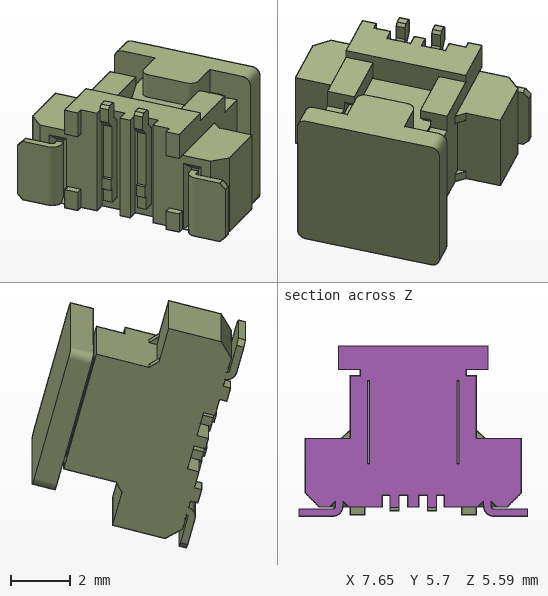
import cadquery as cq


BODY_HALF = 2.11
BODY_BACK = 4.4
CAP_TOP = 3.69
CAP_BACK = 1.46
LIP_TOP = 3.405
LIP_BACK = 3.405
LIP_GAP_HALF = 1.16
WALL_TOP = 2.785

CAVITY_HALF = 1.52
CAVITY_FLOOR = 0.38
MOUTH_CHAMFER_X = 0.27
MOUTH_CHAMFER_Y = 0.175
MOUTH_HALF = CAVITY_HALF + MOUTH_CHAMFER_X
MOUTH_START = BODY_BACK - MOUTH_CHAMFER_Y
LIP_LEAD_IN = 0.305

WING_HALF = 3.62
WING_BACK = 2.3
WING_CHAMFER = 0.48
GUSSET_X = 0.3
GUSSET_Y = 0.275
GUSSET_HEIGHT = 0.305

STOP_INNER = 1.62
STOP_DEPTH = 0.25
LOWER_STOP_HEIGHT = 0.69

PITCH = 1.255
GROOVE_INNER = 0.19
GROOVE_OUTER = 1.03
GROOVE_DEPTH = 0.4
PIN_WIDTH = 0.31
PIN_TOP = 4.185
PIN_BOTTOM = 0.46
PIN_CHAMFER = 0.1
PIN_FRONT = -0.305
PIN_BACK = 0.15
PIN_STRIP_FRONT = -0.015
PIN_BEND_TOP = 3.595
NUB_BOTTOM = 0.95
NUB_TOP = 1.36
NUB_DEPTH = 0.11

TAB_HALF = 3.825
TAB_HEIGHT = 2.2
TAB_THICKNESS = 0.25
TAB_FRONT = -0.305
TAB_BEND_INNER_RADIUS = 0.1
TAB_CHAMFER = 0.2
POCKET_INNER = 2.15
POCKET_OUTER = 2.8
POCKET_TOP = 2.49
POCKET_DEPTH = 0.2
TAB_LEG_INNER = POCKET_INNER + POCKET_DEPTH

FLANGE_SIZE = 5.0
FLANGE_TOP = 3.59
FLANGE_FRONT = 4.605
FLANGE_BACK = 5.39
CORNER_RADIUS = 0.3
TONGUE_HALF = 1.01
PLUG_HALF = 1.47
PLUG_BOTTOM = 0.435
PLUG_TOP = 2.74
RIB_HALF = 1.775
RIB_BOTTOM = 1.31
RIB_TOP = 1.89


def block(x0, x1, y0, y1, z0, z1):
    """Box between two opposite corners."""
    return cq.Workplane("XY").box(x1 - x0, y1 - y0, z1 - z0, centered=False).translate((x0, y0, z0))


def prism_z(points, z0, z1):
    """Plan outline in X and Y, raised from z0 to z1."""
    return cq.Workplane("XY", origin=(0, 0, z0)).polyline(points).close().extrude(z1 - z0)


def prism_x(points, x0, x1):
    """Side outline in Y and Z, carried from x0 to x1."""
    return cq.Workplane("YZ", origin=(x0, 0, 0)).polyline(points).close().extrude(x1 - x0)


def both_sides(shape):
    """The shape together with its mirror image across X = 0."""
    return shape.union(shape.mirror("YZ"))


def housing_core():
    core = block(-BODY_HALF, BODY_HALF, 0, BODY_BACK, 0, WALL_TOP)
    cap = block(-BODY_HALF, BODY_HALF, 0, CAP_BACK, WALL_TOP, CAP_TOP)
    lip = block(LIP_GAP_HALF, BODY_HALF, CAP_BACK, LIP_BACK, WALL_TOP, LIP_TOP)
    return core.union(cap).union(both_sides(lip))


def plug_cavity():
    plan = [
        (0, CAP_BACK),
        (CAVITY_HALF, CAP_BACK),
        (CAVITY_HALF, MOUTH_START),
        (MOUTH_HALF, BODY_BACK),
        (0, BODY_BACK),
    ]
    lead_in = prism_x(
        [(LIP_BACK - LIP_LEAD_IN, WALL_TOP), (LIP_BACK, WALL_TOP), (LIP_BACK, WALL_TOP + LIP_LEAD_IN)],
        LIP_GAP_HALF,
        CAVITY_HALF,
    )
    return both_sides(prism_z(plan, CAVITY_FLOOR, WALL_TOP).union(lead_in))


def wings():
    plan = [
        (0, 0),
        (WING_HALF - WING_CHAMFER, 0),
        (WING_HALF, WING_CHAMFER),
        (WING_HALF, WING_BACK),
        (0, WING_BACK),
    ]
    gusset_plan = [
        (BODY_HALF, WING_BACK),
        (BODY_HALF + GUSSET_X, WING_BACK),
        (BODY_HALF, WING_BACK + GUSSET_Y),
    ]
    wing = prism_z(plan, 0, WALL_TOP)
    for bottom in (0, WALL_TOP - GUSSET_HEIGHT):
        wing = wing.union(prism_z(gusset_plan, bottom, bottom + GUSSET_HEIGHT))
    return both_sides(wing)


def corner_stops():
    lower = block(STOP_INNER, BODY_HALF, -STOP_DEPTH, 0, 0, LOWER_STOP_HEIGHT)
    upper = block(STOP_INNER, BODY_HALF, -STOP_DEPTH, 0, WALL_TOP, CAP_TOP)
    return both_sides(lower.union(upper))


def terminal_grooves():
    return both_sides(block(GROOVE_INNER, GROOVE_OUTER, 0, GROOVE_DEPTH, 0, CAP_TOP))


def terminals():
    """Pins cranked at 45 degrees: a strip in the groove below, a contact head set forward above."""
    crank = PIN_STRIP_FRONT - PIN_FRONT
    bend_bottom = PIN_BEND_TOP - crank
    strip_front = PIN_STRIP_FRONT
    strip_back = PIN_BACK + crank
    outline = [
        (strip_front, PIN_BOTTOM),
        (strip_front, NUB_BOTTOM),
        (strip_front - NUB_DEPTH, NUB_BOTTOM),
        (strip_front - NUB_DEPTH, NUB_TOP),
        (strip_front, NUB_TOP),
        (strip_front, bend_bottom),
        (PIN_FRONT, PIN_BEND_TOP),
        (PIN_FRONT, PIN_TOP - PIN_CHAMFER),
        (PIN_FRONT + PIN_CHAMFER, PIN_TOP),
        (PIN_BACK - PIN_CHAMFER, PIN_TOP),
        (PIN_BACK, PIN_TOP - PIN_CHAMFER),
        (PIN_BACK, PIN_BEND_TOP),
        (strip_back, bend_bottom),
        (strip_back, PIN_BOTTOM),
    ]
    inner_side = (PITCH - PIN_WIDTH) / 2
    return both_sides(prism_x(outline, inner_side, inner_side + PIN_WIDTH))


def tab_pockets():
    """Pockets whose four walls flare out at 45 degrees to the front face."""
    pocket = (
        cq.Workplane("XZ")
        .center((POCKET_INNER + POCKET_OUTER) / 2, POCKET_TOP / 2)
        .rect(POCKET_OUTER - POCKET_INNER, POCKET_TOP)
        .extrude(-POCKET_DEPTH, taper=45)
    )
    return both_sides(pocket)


def solder_tabs():
    outer_radius = TAB_BEND_INNER_RADIUS + TAB_THICKNESS
    bend_x = TAB_LEG_INNER + outer_radius
    bend_y = TAB_FRONT + outer_radius
    plate_back = TAB_FRONT + TAB_THICKNESS
    leg_outer = TAB_LEG_INNER + TAB_THICKNESS
    tab = (
        cq.Workplane("XY")
        .moveTo(TAB_LEG_INNER, POCKET_DEPTH)
        .lineTo(TAB_LEG_INNER, bend_y)
        .radiusArc((bend_x, TAB_FRONT), -outer_radius)
        .lineTo(TAB_HALF, TAB_FRONT)
        .lineTo(TAB_HALF, plate_back)
        .lineTo(bend_x, plate_back)
        .radiusArc((leg_outer, bend_y), TAB_BEND_INNER_RADIUS)
        .lineTo(leg_outer, POCKET_DEPTH)
        .close()
        .extrude(TAB_HEIGHT)
    )
    return both_sides(tab.edges("|Y and >X").chamfer(TAB_CHAMFER))


def plug():
    """Flange, tongue and insert, with side ribs that seat on the chamfered mouth."""
    flange = block(
        -FLANGE_SIZE / 2, FLANGE_SIZE / 2, FLANGE_FRONT, FLANGE_BACK, FLANGE_TOP - FLANGE_SIZE, FLANGE_TOP
    )
    flange = flange.edges("|Y").fillet(CORNER_RADIUS)
    tongue = block(-TONGUE_HALF, TONGUE_HALF, LIP_BACK, FLANGE_FRONT, PLUG_TOP, FLANGE_TOP)
    tongue = tongue.edges("|Z and <Y").fillet(CORNER_RADIUS)
    insert = block(-PLUG_HALF, PLUG_HALF, CAP_BACK, FLANGE_FRONT, PLUG_BOTTOM, PLUG_TOP)
    mouth_slope = MOUTH_CHAMFER_Y / MOUTH_CHAMFER_X
    rib_plan = [
        (PLUG_HALF, FLANGE_FRONT),
        (RIB_HALF, FLANGE_FRONT),
        (RIB_HALF, BODY_BACK - (MOUTH_HALF - RIB_HALF) * mouth_slope),
        (CAVITY_HALF, MOUTH_START),
        (PLUG_HALF, MOUTH_START),
    ]
    rib = prism_z(rib_plan, RIB_BOTTOM, RIB_TOP)
    return flange.union(tongue).union(insert).union(both_sides(rib))


housing = housing_core().union(wings()).union(corner_stops())
housing = housing.cut(plug_cavity()).cut(terminal_grooves()).cut(tab_pockets())
result = housing.union(terminals()).union(solder_tabs()).union(plug())